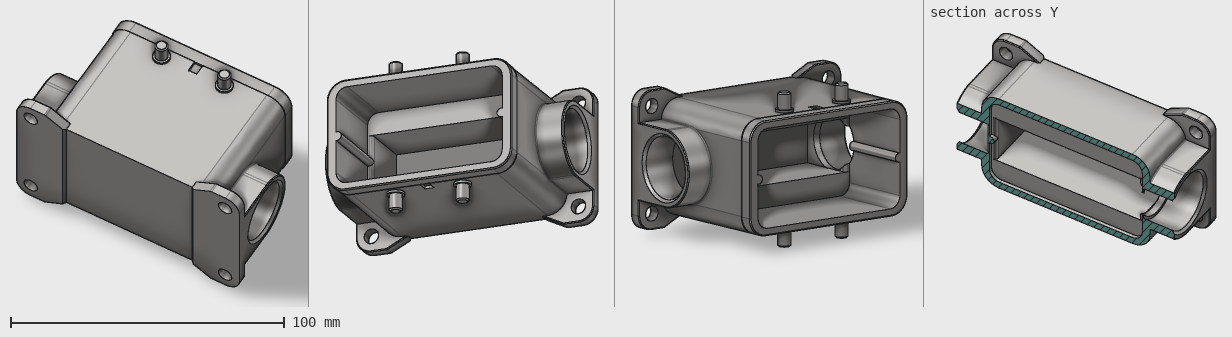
import cadquery as cq
import math

length = 94.0
height = 56.9
pin_span = 57.5

body_half_x = 36.6
body_half_z = 21.9
body_corner = 7.8
body_taper = 0.35
body_base = 1.0
rim_base = 51.7
rim_half_x = 36.6
rim_half_z = 21.4
rim_corner = 7.2
rim_chamfer = 0.5

foot_thickness = 4.3
foot_half_z = 26.0
foot_inner_x = 26.4
foot_inner_half_z = 21.8
foot_shoulder_x = 35.0
foot_corner = 5.8
foot_shoulder_radius = 1.4
foot_edge_chamfer = 0.4
foot_bevel = 1.1
hole_diameter = 5.6
hole_x = 41.0
hole_z = 20.0

boss_y = 19.1
boss_radius = 14.7
boss_flat_inset = 0.1
boss_blend = 7.5
boss_chamfer = 0.4
boss_root_radius = 0.4
bore_radius = 11.75
bore_depth = 13.35
bore_chamfer = 1.0
entry_radius = 10.6

mouth_half_x = 32.9
mouth_half_z = 18.6
mouth_corner = 4.4
rib_radius = 1.7
ledge_y = 27.1
ledge_round = 1.3
ledge_width = 2.1
well_half_x = mouth_half_x - ledge_width
well_half_z = 10.1
well_floor_y = 4.7

pin_x = 13.3
pin_y = 47.4
pin_radius = 2.4
pin_chamfer = 0.6
collar_radius = 3.3
collar_top = 22.5
slot_width = 3.5
slot_base = 47.1
slot_depth = 1.4


def prism(half_x, half_z, y_start, y_end):
    """Rectangular block running along +Y from y_start to y_end."""
    plane = cq.Workplane("XZ", origin=(0, y_start, 0))
    return plane.rect(2 * half_x, 2 * half_z).extrude(y_start - y_end)


def rounded_prism(half_x, half_z, corner, y_start, y_end, taper=0.0):
    """Round-cornered block running along +Y, optionally narrowing as it goes."""
    outline = cq.Sketch().rect(2 * half_x, 2 * half_z).vertices().fillet(corner)
    plane = cq.Workplane(cq.Plane((0, y_start, 0), (1, 0, 0), (0, 1, 0)))
    return plane.placeSketch(outline).extrude(y_end - y_start, taper=taper)


def box_around(centre, reach):
    """Selector for edges whose centre lies within reach of a point, per axis."""
    low = tuple(c - r for c, r in zip(centre, reach))
    high = tuple(c + r for c, r in zip(centre, reach))
    return cq.selectors.BoxSelector(low, high)


def mirrored(shape):
    """The shape together with its mirror image on the other X side."""
    return shape.union(shape.mirror("YZ"))


def make_body():
    body = rounded_prism(body_half_x, body_half_z, body_corner, body_base, rim_base, body_taper)
    rim = rounded_prism(rim_half_x, rim_half_z, rim_corner, rim_base, height)
    return body.union(rim.faces(">Y").chamfer(rim_chamfer))


def make_foot():
    half_length = length / 2
    outline = [
        (half_length, foot_half_z),
        (foot_shoulder_x, foot_half_z),
        (foot_inner_x, foot_inner_half_z),
        (foot_inner_x, -foot_inner_half_z),
        (foot_shoulder_x, -foot_half_z),
        (half_length, -foot_half_z),
    ]
    foot = cq.Workplane("XZ").polyline(outline).close().extrude(-foot_thickness)
    foot = foot.edges("|Y and >X").fillet(foot_corner)
    shoulders = box_around((foot_shoulder_x, foot_thickness / 2, 0), (0.9, foot_thickness, length))
    foot = foot.edges("|Y").edges(shoulders).fillet(foot_shoulder_radius)
    foot = foot.faces(">Y").chamfer(foot_edge_chamfer)
    foot = foot.faces("<Y").edges("<X").chamfer(foot_bevel)
    holes = cq.Workplane("XZ").pushPoints([(hole_x, hole_z), (hole_x, -hole_z)])
    return foot.cut(holes.circle(hole_diameter / 2).extrude(-foot_thickness))


def make_boss():
    boss_half_z = boss_radius - boss_flat_inset
    blend_y = boss_y + math.sqrt(boss_radius**2 - boss_half_z**2)
    boss = (
        cq.Workplane("YZ", origin=(well_half_x, 0, 0))
        .moveTo(0, -boss_half_z)
        .lineTo(blend_y, -boss_half_z)
        .threePointArc((boss_y + boss_radius, 0), (blend_y, boss_half_z))
        .lineTo(0, boss_half_z)
        .close()
        .extrude(length / 2 - well_half_x)
    )
    corners = box_around((length / 2, blend_y, 0), (length, 0.9, length))
    boss = boss.edges("|X").edges(corners).fillet(boss_blend)
    return boss.faces(">X").edges(">Y or >Z or <Z").chamfer(boss_chamfer)


def make_bore():
    """Blind bore of one boss, widened at its outer end."""
    outer_x = length / 2
    profile = [
        (outer_x, 0),
        (outer_x, bore_radius + bore_chamfer),
        (outer_x - bore_chamfer, bore_radius),
        (outer_x - bore_depth, bore_radius),
        (outer_x - bore_depth, 0),
    ]
    bore = cq.Workplane("XY").polyline(profile).close().revolve(360, (0, 0, 0), (1, 0, 0))
    return bore.translate((0, boss_y, 0))


def make_cavity():
    mouth = rounded_prism(mouth_half_x, mouth_half_z, mouth_corner, ledge_y, height)
    well = prism(well_half_x, well_half_z, well_floor_y, ledge_y)
    cavity = mouth.union(well)
    ledge_rims = box_around((0, ledge_y, 0), (well_half_x + 0.9, 0.9, well_half_z))
    cavity = cavity.edges("|Z").edges(ledge_rims).fillet(ledge_round)
    nose_x = well_half_x + rib_radius
    rib = (
        cq.Workplane("XZ", origin=(0, ledge_y - ledge_round, 0))
        .moveTo(mouth_half_x, -rib_radius)
        .lineTo(nose_x, -rib_radius)
        .threePointArc((well_half_x, 0), (nose_x, rib_radius))
        .lineTo(mouth_half_x, rib_radius)
        .close()
        .extrude(ledge_y - ledge_round - height)
    )
    return cavity.cut(mirrored(rib))


def make_slot():
    """Shallow key slot between the pins, ending at the rim."""
    slot = cq.Workplane("XY").box(slot_width, rim_base - slot_base, 2 * slot_depth)
    return slot.translate((0, (slot_base + rim_base) / 2, body_half_z))


def make_pin():
    plane = cq.Workplane("XY", origin=(pin_x, pin_y, mouth_half_z))
    pin = plane.circle(pin_radius).extrude(pin_span / 2 - mouth_half_z)
    pin = pin.faces(">Z").chamfer(pin_chamfer)
    return pin.union(plane.circle(collar_radius).extrude(collar_top - mouth_half_z))


def fillet_boss_root(shape):
    """Round the outline along which a boss meets the end wall of the body."""
    centre_y = (foot_thickness + boss_y + boss_radius) / 2
    half_height = (boss_y + boss_radius - foot_thickness) / 2
    root_zone = box_around((body_half_x, centre_y, 0), (0.9, half_height, boss_radius))
    return shape.edges(root_zone).fillet(boss_root_radius)


def make_entry():
    """Opening from the -X bore through the end wall into the cavity."""
    wall = cq.Workplane("YZ", origin=(-length / 2, boss_y, 0))
    return wall.circle(entry_radius).extrude(length / 2 - well_half_x)


housing = make_body().union(mirrored(make_foot())).union(mirrored(make_boss()))
for _ in range(2):
    housing = fillet_boss_root(housing).mirror("YZ")

housing = housing.cut(make_cavity()).cut(mirrored(make_bore())).cut(make_entry())

slot = make_slot()
pins = mirrored(make_pin())
housing = housing.cut(slot).cut(slot.mirror("XY"))
result = housing.union(pins).union(pins.mirror("XY"))